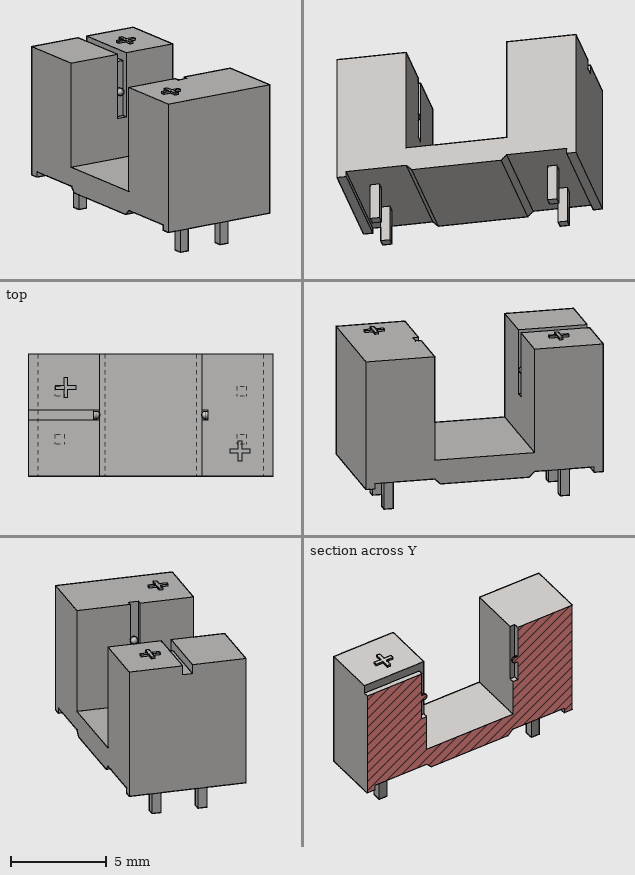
import cadquery as cq

LENGTH = 12.8
WIDTH = 6.4
BODY_HEIGHT = 7.0
GAP_WIDTH = 5.38
GAP_DEPTH = 5.67

FOOT_LENGTH = 0.5
RELIEF_HEIGHT = 0.3

PIN_SIZE = 0.5
PIN_X = 4.75
PIN_Y = 1.25
PIN_DROP = 1.7

GROOVE_WIDTH = 0.54
TOP_GROOVE_DEPTH = 0.5
INNER_GROOVE_DEPTH = 0.3
INNER_GROOVE_LENGTH = 3.5

LENS_DIAMETER = 0.4
LENS_BARREL = 0.13
LENS_BELOW_TOP = 2.14

MARK_HEIGHT = 0.1
MARK_SPAN = 1.05
MARK_STROKE = 0.2
MARK_CENTERS = [(-4.44, 1.43), (4.67, -1.87)]

HALF_LENGTH = LENGTH / 2
HALF_GAP = GAP_WIDTH / 2
LENS_RADIUS = LENS_DIAMETER / 2


def make_body():
    """Extrude the U profile across the full width."""
    floor_z = BODY_HEIGHT - GAP_DEPTH
    foot_x = HALF_LENGTH - FOOT_LENGTH
    pad_x = HALF_GAP - RELIEF_HEIGHT
    right_half = [
        (pad_x, 0),
        (HALF_GAP, RELIEF_HEIGHT),
        (foot_x, RELIEF_HEIGHT),
        (foot_x, 0),
        (HALF_LENGTH, 0),
        (HALF_LENGTH, BODY_HEIGHT),
        (HALF_GAP, BODY_HEIGHT),
        (HALF_GAP, floor_z),
    ]
    left_half = [(-x, z) for x, z in reversed(right_half)]
    return cq.Workplane("XZ").polyline(right_half + left_half).close().extrude(WIDTH / 2, both=True)


def make_pins():
    """Four square leads reaching down from the relieved underside."""
    return (
        cq.Workplane("XY")
        .workplane(offset=RELIEF_HEIGHT)
        .rect(2 * PIN_X, 2 * PIN_Y, forConstruction=True)
        .vertices()
        .rect(PIN_SIZE, PIN_SIZE)
        .extrude(-(RELIEF_HEIGHT + PIN_DROP))
    )


def make_top_groove():
    """Shallow groove across the top of the left tower."""
    tower_length = HALF_LENGTH - HALF_GAP
    return cq.Workplane("XY").box(
        tower_length, GROOVE_WIDTH, TOP_GROOVE_DEPTH, centered=(False, True, False)
    ).translate((-HALF_LENGTH, 0, BODY_HEIGHT - TOP_GROOVE_DEPTH))


def make_inner_groove(side):
    """Upright groove, open at the top, in the gap wall on the given side (-1 or 1)."""
    center_x = side * (HALF_GAP + INNER_GROOVE_DEPTH / 2)
    return cq.Workplane("XY").box(
        INNER_GROOVE_DEPTH, GROOVE_WIDTH, INNER_GROOVE_LENGTH, centered=(True, True, False)
    ).translate((center_x, 0, BODY_HEIGHT - INNER_GROOVE_LENGTH))


def make_lens(side):
    """Short barrel with a hemispherical nose, pointing into the gap from the groove floor."""
    base_x = HALF_GAP + INNER_GROOVE_DEPTH
    nose_x = base_x - LENS_BARREL
    lens_z = BODY_HEIGHT - LENS_BELOW_TOP
    profile = (
        cq.Workplane("XY")
        .moveTo(side * base_x, 0)
        .lineTo(side * base_x, LENS_RADIUS)
        .lineTo(side * nose_x, LENS_RADIUS)
        .radiusArc((side * (nose_x - LENS_RADIUS), 0), -side * LENS_RADIUS)
        .close()
    )
    return profile.revolve(360, (0, 0, 0), (1, 0, 0)).translate((0, 0, lens_z))


def make_plus_marks():
    """Raised plus sign on the top of each tower."""
    top = cq.Workplane("XY").workplane(offset=BODY_HEIGHT).pushPoints(MARK_CENTERS)
    bars_along_x = top.rect(MARK_SPAN, MARK_STROKE).extrude(MARK_HEIGHT)
    bars_along_y = top.rect(MARK_STROKE, MARK_SPAN).extrude(MARK_HEIGHT)
    return bars_along_x.union(bars_along_y)


result = make_body().union(make_pins()).cut(make_top_groove())
for side in (-1, 1):
    result = result.cut(make_inner_groove(side)).union(make_lens(side))
result = result.union(make_plus_marks())